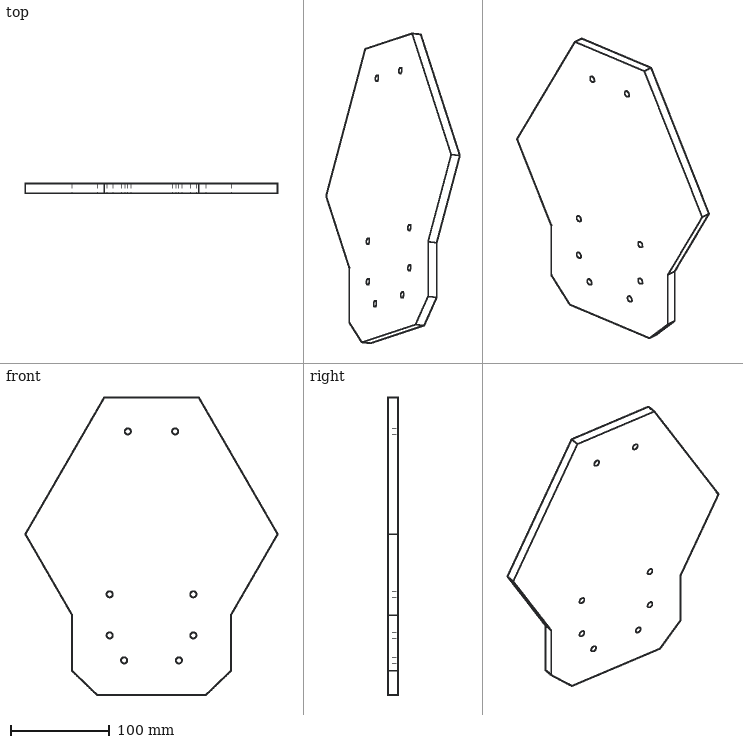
import cadquery as cq
import math

height = 300.8
width = 255.0
thickness = 10.2

top_width = 95.7
foot_width = 160.5
corner_width = 25.5
corner_height = 24.7
flank_slope = math.tan(math.radians(60))

widest_z = height - (width - top_width) / 2 * flank_slope
foot_top_z = widest_z - (width - foot_width) / 2 * flank_slope

hole_diameter = 6.0
hole_pairs = [
    (47.8, 266.5),
    (84.5, 102.0),
    (84.5, 60.5),
    (55.5, 35.2),
]


def make_plate():
    """Symmetric plate standing on its bottom edge, centred in X and Y."""
    right_side = [
        (foot_width / 2 - corner_width, 0),
        (foot_width / 2, corner_height),
        (foot_width / 2, foot_top_z),
        (width / 2, widest_z),
        (top_width / 2, height),
    ]
    left_side = [(-x, z) for x, z in reversed(right_side)]
    outline = cq.Workplane("XZ").polyline(right_side + left_side).close()
    return outline.extrude(thickness / 2, both=True)


def make_holes():
    """Cylinders through the thickness, mirrored in pairs about X = 0."""
    centres = [(side * spacing / 2, z) for spacing, z in hole_pairs for side in (-1, 1)]
    circles = cq.Workplane("XZ").pushPoints(centres).circle(hole_diameter / 2)
    return circles.extrude(thickness, both=True)


result = make_plate().cut(make_holes())